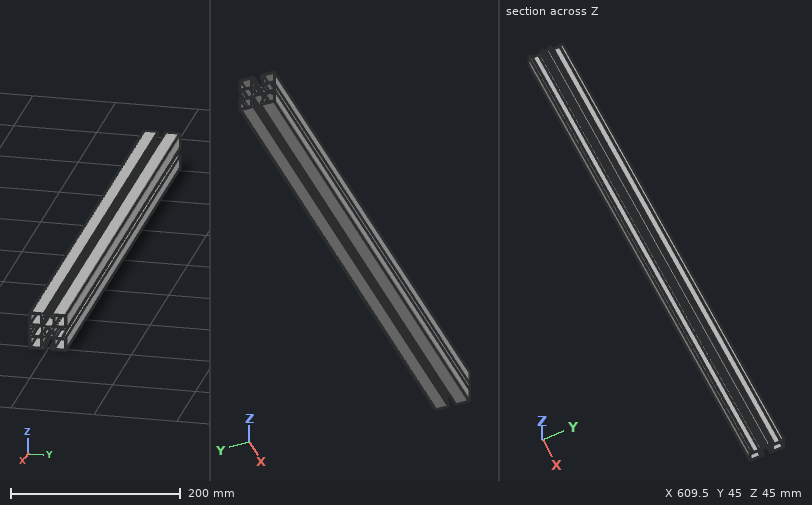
import cadquery as cq

LENGTH = 609.5
SIDE = 45.0
CORNER_RADIUS = 2.5
OUTER_WALL = 1.5
INNER_WALL = 1.0
COVER_THICKNESS = 0.75

SLOT_OPENING = 9.0
LIP_DEPTH = 4.6
CHAMBER_WIDTH = 13.5
FLOOR_BEVEL_WIDTH = 1.0
FLOOR_BEVEL_HEIGHT = 3.0

BORE_DIAMETER = 5.5
GROOVE_DIAMETER = 8.5
GROOVE_WIDTH = 5.0

HALF_SIDE = SIDE / 2
SLOT_FLOOR = CHAMBER_WIDTH / 2
LIP_UNDERSIDE = HALF_SIDE - LIP_DEPTH
CELL_INNER = CHAMBER_WIDTH / 2 + INNER_WALL
CELL_OUTER = HALF_SIDE - OUTER_WALL


def bar(y_min, y_max, z_min, z_max):
    """Full-length rectangular bar along X between the given Y and Z limits."""
    center = (0, (y_min + y_max) / 2, (z_min + z_max) / 2)
    return cq.Workplane("XY").box(LENGTH, y_max - y_min, z_max - z_min).translate(center)


def rod(diameter):
    """Full-length round rod on the bar axis."""
    return cq.Workplane("YZ").circle(diameter / 2).extrude(LENGTH / 2, both=True)


def turned(shape, angle):
    """Copy of a shape turned about the bar axis."""
    return shape.rotate((0, 0, 0), (1, 0, 0), angle)


def t_slot(top):
    """T-slot on the +Z side; its bevelled floor corners leave diagonal webs to the core."""
    half_chamber = CHAMBER_WIDTH / 2
    half_opening = SLOT_OPENING / 2
    right_side = [
        (half_chamber - FLOOR_BEVEL_WIDTH, SLOT_FLOOR),
        (half_chamber, SLOT_FLOOR + FLOOR_BEVEL_HEIGHT),
        (half_chamber, LIP_UNDERSIDE),
        (half_opening, LIP_UNDERSIDE),
        (half_opening, top),
    ]
    left_side = [(-y, z) for y, z in reversed(right_side)]
    outline = cq.Workplane("YZ").polyline(right_side + left_side).close()
    return outline.extrude(LENGTH / 2, both=True)


def core_hole():
    """Bore widened by four diagonal grooves, which leave a tooth facing each slot."""
    half_groove = GROOVE_WIDTH / 2
    reach = GROOVE_DIAMETER / 2
    groove_pair = bar(-reach, reach, -half_groove, half_groove)
    grooves = turned(groove_pair, 45).union(turned(groove_pair, -45))
    return grooves.intersect(rod(GROOVE_DIAMETER)).union(rod(BORE_DIAMETER))


open_slot = t_slot(HALF_SIDE)
closed_slot = t_slot(HALF_SIDE - COVER_THICKNESS)
corner_cell = bar(CELL_INNER, CELL_OUTER, CELL_INNER, CELL_OUTER)

result = bar(-HALF_SIDE, HALF_SIDE, -HALF_SIDE, HALF_SIDE).edges("|X").fillet(CORNER_RADIUS)
for angle, slot in ((0, open_slot), (90, closed_slot), (180, open_slot), (270, open_slot)):
    result = result.cut(turned(slot, angle))
    result = result.cut(turned(corner_cell, angle))
result = result.cut(core_hole())